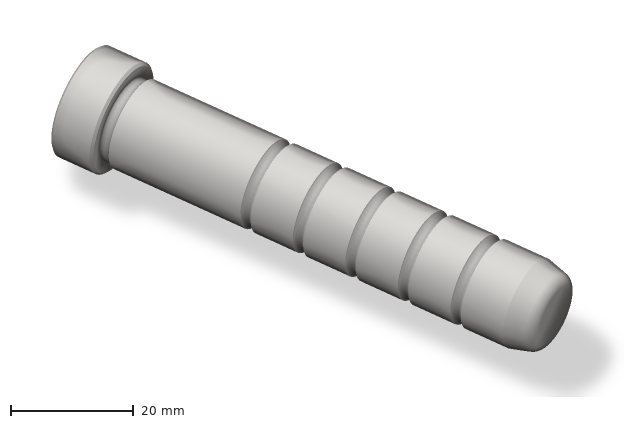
import cadquery as cq
import math

length = 90.0
head_diameter = 20.0
head_length = 8.0
head_chamfer = 0.45
shank_diameter = 16.0

relief_end = 10.0
relief_depth = 0.5
relief_chamfer = 0.3

groove_count = 5
groove_pitch = 10.0
first_groove = 36.0
groove_width = 2.0
groove_depth = 0.7

taper_start = 85.0
taper_angle = 15.0
nose_radius = 2.0

pilot_diameter = 2.5
countersink_diameter = 4.8
countersink_angle = 90.0
pilot_depth = 8.0
drill_point_angle = 118.0

head_radius = head_diameter / 2
shank_radius = shank_diameter / 2


def turned_blank():
    """Head, relief and shank with its tapered, rounded tip."""
    slope = math.radians(taper_angle)
    relief_radius = shank_radius - relief_depth

    centre_x = length - nose_radius
    taper_end = centre_x + nose_radius * math.sin(slope)
    taper_end_radius = shank_radius - (taper_end - taper_start) * math.tan(slope)
    centre_r = taper_end_radius - nose_radius * math.cos(slope)
    middle_angle = (math.pi / 2 - slope) / 2
    nose_middle = (
        centre_x + nose_radius * math.cos(middle_angle),
        centre_r + nose_radius * math.sin(middle_angle),
    )

    profile = (
        cq.Workplane("XY")
        .moveTo(0, 0)
        .lineTo(0, head_radius - head_chamfer)
        .lineTo(head_chamfer, head_radius)
        .lineTo(head_length - head_chamfer, head_radius)
        .lineTo(head_length, head_radius - head_chamfer)
        .lineTo(head_length, relief_radius)
        .lineTo(relief_end - relief_chamfer, relief_radius)
        .lineTo(relief_end, shank_radius)
        .lineTo(taper_start, shank_radius)
        .lineTo(taper_end, taper_end_radius)
        .threePointArc(nose_middle, (length, centre_r))
        .lineTo(length, 0)
        .close()
    )
    return profile.revolve(360, (0, 0, 0), (1, 0, 0))


def lubrication_groove(x):
    """Ring-shaped cutter with a circular-arc section, centred at x."""
    half_width = groove_width / 2
    profile = (
        cq.Workplane("XY")
        .moveTo(x - half_width, shank_radius)
        .threePointArc((x, shank_radius - groove_depth), (x + half_width, shank_radius))
        .close()
    )
    return profile.revolve(360, (0, 0, 0), (1, 0, 0))


def centre_hole():
    """Countersunk pilot hole with a conical drill point."""
    pilot_radius = pilot_diameter / 2
    countersink_radius = countersink_diameter / 2
    countersink_depth = (countersink_radius - pilot_radius) / math.tan(math.radians(countersink_angle / 2))
    point_length = pilot_radius / math.tan(math.radians(drill_point_angle / 2))
    profile = (
        cq.Workplane("XY")
        .moveTo(0, 0)
        .lineTo(0, countersink_radius)
        .lineTo(countersink_depth, pilot_radius)
        .lineTo(pilot_depth, pilot_radius)
        .lineTo(pilot_depth + point_length, 0)
        .close()
    )
    return profile.revolve(360, (0, 0, 0), (1, 0, 0))


result = turned_blank()
for index in range(groove_count):
    result = result.cut(lubrication_groove(first_groove + index * groove_pitch))
result = result.cut(centre_hole())